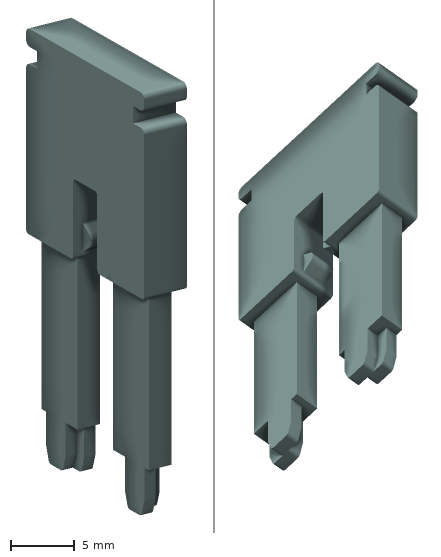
import cadquery as cq
import math

height = 36.5
width = 16.7
thickness = 4.0

housing_bottom = 19.1
corner_radius = 0.5
foot_radius = 0.33
lip_height = 1.55
notch_height = 1.45
notch_depth = 1.57
slot_width = 3.43
slot_top = 25.95
slot_radius = 0.33

bump_reach = 1.13
bump_nose_radius = 0.73
bump_root_radius = 0.25
bump_flank_angle = 35.0
bump_center_z = 20.75
bump_thickness = 2.1
pad_depth = 0.35
pad_margin = 0.14

prong_spacing = 10.1
prong_width = 5.1
prong_thickness = 2.1
shoulder_z = 4.25
tongue_width = 2.77
tongue_offset = 0.5
taper_height = 1.42
taper_inset = 0.45
tip_radius = 0.35
taper_radius = 0.5
bend_margin = 0.05


def block(size_x, size_y, bottom, top, center_x=0.0):
    """Upright box centred on Y, between two heights."""
    return (
        cq.Workplane("XY", origin=(center_x, 0, bottom))
        .box(size_x, size_y, top - bottom, centered=(True, True, False))
    )


def extrude_along_y(points, y_min, y_max):
    """Extrude an XZ outline between two Y positions."""
    return cq.Workplane("XZ", origin=(0, y_max, 0)).polyline(points).close().extrude(y_max - y_min)


def make_housing():
    notch_top = height - lip_height
    notch_bottom = notch_top - notch_height
    neck_width = width - 2 * notch_depth

    lip = block(width, thickness, notch_top, height).edges("|Y").fillet(corner_radius)
    neck = block(neck_width, thickness, notch_bottom, notch_top)
    slot = block(slot_width, thickness, housing_bottom, slot_top).edges("|Y and >Z").fillet(slot_radius)
    body = (
        block(width, thickness, housing_bottom, notch_bottom)
        .edges("|Y and >Z").fillet(corner_radius)
        .cut(slot)
        .edges("|Y and <Z").fillet(foot_radius)
    )
    return body.union(neck).union(lip)


def make_bump(side):
    """V-shaped bump with a rounded nose and blended roots, on a pad buried in the slot wall."""
    flank = math.radians(bump_flank_angle)
    wall_x = side * slot_width / 2
    pad_x = wall_x + side * pad_depth
    apex_reach = bump_reach - bump_nose_radius + bump_nose_radius / math.sin(flank)
    apex_x = wall_x - side * apex_reach
    half_height = apex_reach * math.tan(flank)
    half_pad = half_height + pad_margin
    points = [
        (pad_x, bump_center_z - half_pad),
        (wall_x, bump_center_z - half_pad),
        (wall_x, bump_center_z - half_height),
        (apex_x, bump_center_z),
        (wall_x, bump_center_z + half_height),
        (wall_x, bump_center_z + half_pad),
        (pad_x, bump_center_z + half_pad),
    ]
    half_thickness = bump_thickness / 2
    bump = extrude_along_y(points, -half_thickness, half_thickness)
    for root_z in (bump_center_z - half_height, bump_center_z + half_height):
        root = cq.selectors.NearestToPointSelector((wall_x, 0, root_z))
        bump = bump.edges("|Y").edges(root).fillet(bump_root_radius)
    nose = cq.selectors.NearestToPointSelector((apex_x, 0, bump_center_z))
    return bump.edges("|Y").edges(nose).fillet(bump_nose_radius)


def make_tongue(center_x, y_min, y_max):
    half_width = tongue_width / 2
    half_tip = half_width - taper_inset
    points = [
        (center_x - half_width, shoulder_z),
        (center_x - half_width, taper_height),
        (center_x - half_tip, 0),
        (center_x + half_tip, 0),
        (center_x + half_width, taper_height),
        (center_x + half_width, shoulder_z),
    ]
    tongue = extrude_along_y(points, y_min, y_max).edges("|Y and <Z").fillet(tip_radius)
    bends = cq.selectors.BoxSelector(
        (center_x - tongue_width, y_min - thickness, taper_height - bend_margin),
        (center_x + tongue_width, y_max + thickness, taper_height + bend_margin),
    )
    return tongue.edges("|Y").edges(bends).fillet(taper_radius)


def make_prong(side):
    center_x = side * prong_spacing / 2
    shank = block(prong_width, prong_thickness, shoulder_z, housing_bottom, center_x)
    front = make_tongue(center_x + side * tongue_offset, -prong_thickness / 2, 0)
    rear = make_tongue(center_x - side * tongue_offset, 0, prong_thickness / 2)
    return shank.union(front).union(rear)


result = make_housing()
for side in (-1, 1):
    result = result.union(make_bump(side)).union(make_prong(side))